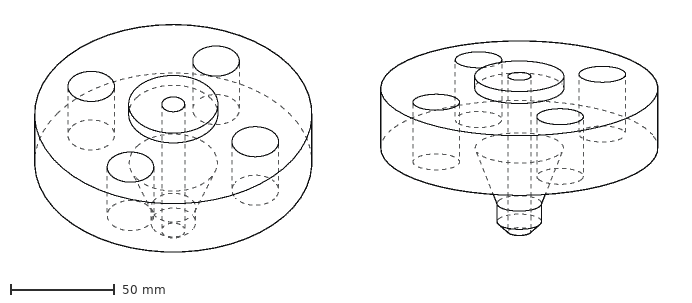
import cadquery as cq

flange_diameter = 133.4
flange_thickness = 30.5
face_diameter = 43.0
face_height = 6.1

hub_diameter = 42.4
hub_height = 28.4
pipe_diameter = 21.5
pipe_height = 9.3
tip_diameter = 11.2
bevel_height = 5.1

bore_diameter = 11.1
bolt_hole_diameter = 22.4
bolt_circle_diameter = 89.0
bolt_count = 4
first_bolt_angle = 45.0

face_top = flange_thickness + face_height
pipe_top = -hub_height
bevel_top = pipe_top - pipe_height
tip_level = bevel_top - bevel_height


def make_body():
    """Revolve the half profile, including the bore, about the Z axis."""
    profile = [
        (bore_diameter / 2, face_top),
        (face_diameter / 2, face_top),
        (face_diameter / 2, flange_thickness),
        (flange_diameter / 2, flange_thickness),
        (flange_diameter / 2, 0),
        (hub_diameter / 2, 0),
        (pipe_diameter / 2, pipe_top),
        (pipe_diameter / 2, bevel_top),
        (tip_diameter / 2, tip_level),
        (bore_diameter / 2, tip_level),
    ]
    return cq.Workplane("XZ").polyline(profile).close().revolve(360, (0, 0, 0), (0, 1, 0))


def make_bolt_holes():
    """Cutters for the bolt holes through the flange."""
    return (
        cq.Workplane("XY")
        .polarArray(bolt_circle_diameter / 2, first_bolt_angle, 360, bolt_count)
        .circle(bolt_hole_diameter / 2)
        .extrude(flange_thickness)
    )


result = make_body().cut(make_bolt_holes())